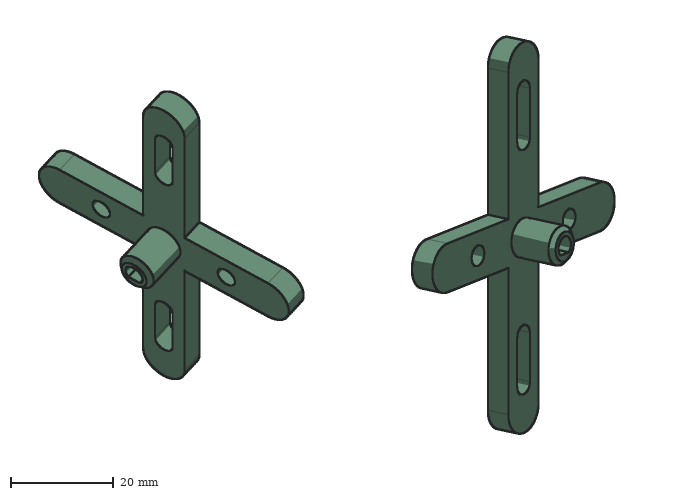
import cadquery as cq

arm_span_z = 80.0
arm_span_x = 60.0
arm_width = 10.0
plate_thickness = arm_width / 2

hole_diameter = 4.2
hole_offset = arm_span_x / 4
slot_offset = arm_span_z * 5 / 16
slot_travel = 10.0
slot_length = slot_travel + hole_diameter

boss_diameter = 8.0
boss_length = 10.0
boss_chamfer = boss_diameter / 8
bore_diameter = 4.1
bore_flat_offset = 1.5
bore_depth = boss_length


def front_plane(y=0.0):
    """Workplane facing -Y: local x is X, local y is Z."""
    return cq.Workplane("XZ", origin=(0, y, 0))


def make_plate():
    """Two crossed bars with fully rounded ends, behind the front face."""
    horizontal = front_plane().slot2D(arm_span_x, arm_width).extrude(-plate_thickness)
    vertical = front_plane().slot2D(arm_span_z, arm_width, 90).extrude(-plate_thickness)
    return horizontal.union(vertical)


def make_arm_openings():
    """Round holes in the horizontal arms and slots in the vertical arms."""
    holes = (
        front_plane()
        .pushPoints([(-hole_offset, 0), (hole_offset, 0)])
        .circle(hole_diameter / 2)
        .extrude(-plate_thickness)
    )
    slots = (
        front_plane()
        .pushPoints([(0, -slot_offset), (0, slot_offset)])
        .slot2D(slot_length, hole_diameter, 90)
        .extrude(-plate_thickness)
    )
    return holes.union(slots)


def make_boss():
    """Cylinder on the front face, chamfered around its free end."""
    return front_plane().circle(boss_diameter / 2).extrude(boss_length).faces("<Y").chamfer(boss_chamfer)


def make_bore():
    """Round bore with a flat along its lower side, open at the boss end."""
    bore_radius = bore_diameter / 2
    flat_half_width = (bore_radius**2 - bore_flat_offset**2) ** 0.5
    return (
        front_plane(-boss_length)
        .moveTo(-flat_half_width, -bore_flat_offset)
        .threePointArc((0, bore_radius), (flat_half_width, -bore_flat_offset))
        .close()
        .extrude(-bore_depth)
    )


result = make_plate().cut(make_arm_openings()).union(make_boss()).cut(make_bore())